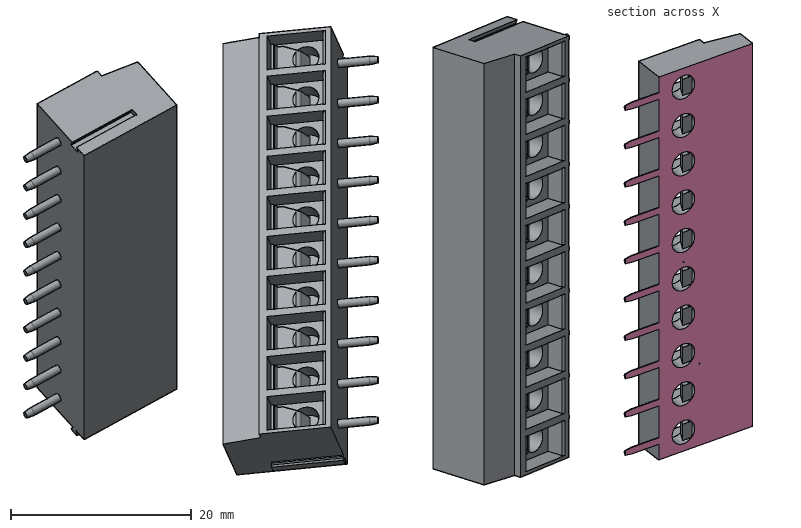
import cadquery as cq

total_height = 50.7
total_depth = 17.0
pole_count = 10
tongue_height = 0.7
body_height = total_height - tongue_height
pitch = body_height / pole_count

body_width = 9.0
pin_length = 4.45
body_depth = total_depth - pin_length
shoulder_y = 8.1
shoulder_x = 0.85
top_x = 1.5

dovetail_x = 7.15
tongue_neck_width = 0.65
tongue_wide_width = 1.2
tongue_end_width = 0.9
tongue_neck_drop = 0.15
tongue_wide_drop = 0.5
groove_mouth_width = 0.85
groove_wide_width = 1.2
groove_taper_depth = 0.5
groove_depth = 0.65

pocket_height = 4.15
pocket_depth = 2.25
pocket_low_y = 0.6
pocket_chamfer_y = 0.9
pocket_chamfer_depth = 0.2
pocket_high_y = 7.2
ledge_depth = 2.05
ledge_y = 6.9

hole_y = 3.3
hole_diameter = 2.95
hole_depth = 2.05

leaf_thickness = 0.1
leaf_wide_width = 3.55
leaf_narrow_width = 2.15
leaf_taper_start_y = 5.9
leaf_taper_end_y = 4.1
leaf_bend_y = 4.4
leaf_bend_end_y = 3.9
leaf_tip_y = 3.2
leaf_bend_drop = 0.3
leaf_tip_drop = 1.8
ridge_low_y = 6.55
ridge_rise = 0.15
ridge_width = 3.8

pin_x = 4.1
pin_diameter = 0.95
pin_tip_diameter = 0.7
pin_tip_length = 0.85
pin_root = 1.0


def prism_along_z(points, z_center, height):
    """Extrude an XY outline symmetrically about z_center."""
    plane = cq.Workplane("XY", origin=(0, 0, z_center))
    return plane.polyline(points).close().extrude(height / 2, both=True)


def make_housing():
    section = [
        (0, 0),
        (body_width, 0),
        (body_width, body_depth),
        (top_x, body_depth),
        (shoulder_x, shoulder_y),
        (0, shoulder_y),
    ]
    return cq.Workplane("XY").polyline(section).close().extrude(body_height)


def dovetail_bar(levels):
    """Bar from the front face to the shoulder; levels lists (width, Z) pairs."""
    right_side = [(dovetail_x + width / 2, z) for width, z in levels]
    left_side = [(dovetail_x - width / 2, z) for width, z in reversed(levels)]
    outline = cq.Workplane("XZ").polyline(right_side + left_side).close()
    return outline.extrude(-shoulder_y)


def make_tongue():
    return dovetail_bar([
        (tongue_neck_width, 0),
        (tongue_neck_width, -tongue_neck_drop),
        (tongue_wide_width, -tongue_wide_drop),
        (tongue_end_width, -tongue_height),
    ])


def make_groove():
    return dovetail_bar([
        (groove_mouth_width, body_height),
        (groove_wide_width, body_height - groove_taper_depth),
        (groove_wide_width, body_height - groove_depth),
    ])


def make_pocket(z):
    """Pocket with a chamfered low-Y lip and a ledge at high Y, plus the wire hole."""
    section = [
        (0, pocket_low_y),
        (pocket_chamfer_depth, pocket_chamfer_y),
        (pocket_depth, pocket_chamfer_y),
        (pocket_depth, ledge_y),
        (ledge_depth, ledge_y),
        (ledge_depth, pocket_high_y),
        (0, pocket_high_y),
    ]
    hole_plane = cq.Workplane("YZ", origin=(pocket_depth, hole_y, z))
    hole = hole_plane.circle(hole_diameter / 2).extrude(hole_depth)
    return prism_along_z(section, z, pocket_height).union(hole)


def make_leaf(z):
    """Bent strip trimmed to its tapering outline, plus the ridge at its wide end."""
    face_x = pocket_depth - leaf_thickness
    bend_x = face_x + leaf_bend_drop
    tip_x = face_x + leaf_tip_drop
    bend_middle = (face_x + leaf_bend_drop / 4, (leaf_bend_y + leaf_bend_end_y) / 2)
    strip = (
        cq.Workplane("XY", origin=(0, 0, z))
        .moveTo(face_x, ledge_y)
        .lineTo(face_x, leaf_bend_y)
        .threePointArc(bend_middle, (bend_x, leaf_bend_end_y))
        .lineTo(tip_x, leaf_tip_y)
        .lineTo(tip_x, leaf_bend_y)
        .lineTo(pocket_depth, leaf_bend_y)
        .lineTo(pocket_depth, ledge_y)
        .close()
        .extrude(leaf_wide_width / 2, both=True)
    )
    upper_side = [
        (leaf_tip_y, leaf_narrow_width / 2),
        (leaf_taper_end_y, leaf_narrow_width / 2),
        (leaf_taper_start_y, leaf_wide_width / 2),
        (ledge_y, leaf_wide_width / 2),
    ]
    lower_side = [(y, -half_width) for y, half_width in reversed(upper_side)]
    outline_plane = cq.Workplane("YZ", origin=(0, 0, z))
    outline = outline_plane.polyline(upper_side + lower_side).close().extrude(body_width)
    ridge_section = [
        (pocket_depth, ledge_y),
        (face_x, ledge_y),
        (face_x - ridge_rise, (ridge_low_y + ledge_y) / 2),
        (face_x, ridge_low_y),
        (pocket_depth, ridge_low_y),
    ]
    ridge = prism_along_z(ridge_section, z, ridge_width)
    return strip.intersect(outline).union(ridge)


def make_pin(z):
    """Round pin rooted in the housing, with a tapered tip."""
    shank_length = pin_length - pin_tip_length
    shank = (
        cq.Workplane("XZ", origin=(pin_x, pin_root, z))
        .circle(pin_diameter / 2)
        .extrude(pin_root + shank_length)
    )
    tip = (
        cq.Workplane("XZ", origin=(pin_x, -shank_length, z))
        .circle(pin_diameter / 2)
        .workplane(offset=pin_tip_length)
        .circle(pin_tip_diameter / 2)
        .loft()
    )
    return shank.union(tip)


result = make_housing().union(make_tongue()).cut(make_groove())
for pole in range(pole_count):
    pole_z = (pole + 0.5) * pitch
    result = result.cut(make_pocket(pole_z))
    result = result.union(make_leaf(pole_z)).union(make_pin(pole_z))